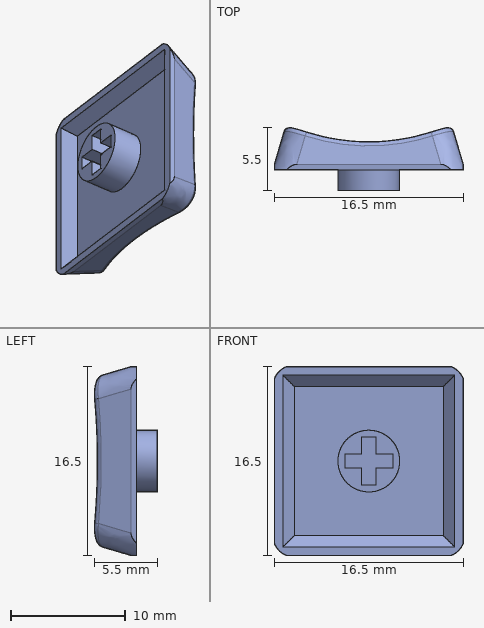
import cadquery as cq
import math

cap_width = 16.5
skirt_height = 0.5
wall_slope = math.radians(16.5)
corner_radius = 2.05
blank_height = 4.95
dish_floor = 1.98
dish_radius_x = 17
dish_radius_z = 56.1
top_fillet = 0.5

pocket_opening = 15.0
pocket_floor_width = 13.0
pocket_depth = 1.0

stem_diameter = 5.4
stem_length = 1.8
cross_span = 4.19
cross_arm = 1.24


def square_frustum(y_start, width_start, y_end, width_end):
    """Solid between two centred squares lying in planes of constant Y."""
    return (
        cq.Workplane("XZ", origin=(0, y_start, 0))
        .rect(width_start, width_start)
        .workplane(offset=y_start - y_end)
        .rect(width_end, width_end)
        .loft(combine=True)
    )


def tapered_blank():
    """Tapered block with rounded corners, trimmed to a straight skirt."""
    slope = math.tan(wall_slope)
    base_width = cap_width + 2 * skirt_height * slope
    top_width = base_width - 2 * blank_height * slope
    tapered = square_frustum(0, base_width, blank_height, top_width)
    rounded = tapered.edges("not(#Y)").fillet(corner_radius)
    skirt = square_frustum(0, cap_width, blank_height, cap_width)
    return rounded.intersect(skirt)


def dish_cutter():
    """Torus-like tool: an arc across X swung about an axis parallel to X."""
    half_width = cap_width / 2
    rise = dish_radius_x - math.sqrt(dish_radius_x**2 - half_width**2)
    axis_y = dish_floor + dish_radius_z
    return (
        cq.Workplane("XY")
        .moveTo(-half_width, dish_floor + rise)
        .threePointArc((0, dish_floor), (half_width, dish_floor + rise))
        .lineTo(half_width, axis_y)
        .lineTo(-half_width, axis_y)
        .close()
        .revolve(360, (-half_width, axis_y), (half_width, axis_y))
    )


def cross_slot():
    """Cross-shaped socket, from the stem tip to the pocket floor."""
    depth = stem_length + pocket_depth
    centre_y = (pocket_depth - stem_length) / 2
    across = cq.Workplane("XY").box(cross_span, depth, cross_arm)
    upright = cq.Workplane("XY").box(cross_arm, depth, cross_span)
    return across.union(upright).translate((0, centre_y, 0))


cap = tapered_blank().cut(dish_cutter())
cap = cap.faces(">Y").edges().fillet(top_fillet)

cap = cap.cut(square_frustum(0, pocket_opening, pocket_depth, pocket_floor_width))

stem = (
    cq.Workplane("XZ", origin=(0, pocket_depth, 0))
    .circle(stem_diameter / 2)
    .extrude(pocket_depth + stem_length)
)

result = cap.union(stem).cut(cross_slot())